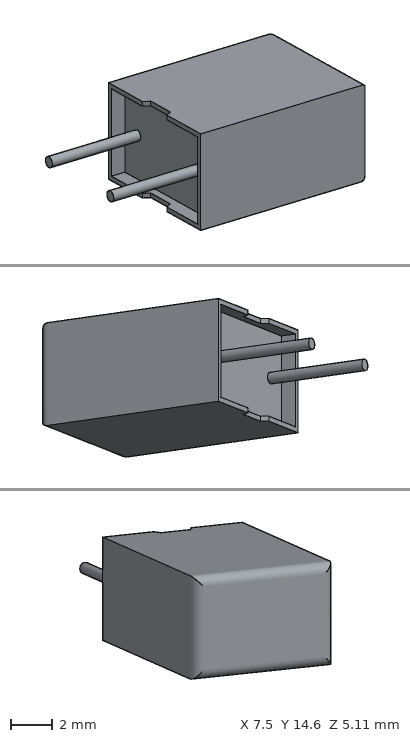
import cadquery as cq

total_length = 14.6
case_width = 7.5
case_height = 5.11
case_length = 10.1
wall = 0.25
back_fillet = 0.5

recess_depth = 0.8

notch_depth = 0.35
notch_mouth_width = 1.99
notch_floor_width = 1.58

pin_diameter = 0.57
pin_pitch = 5.0

filling_front = recess_depth
filling_back = case_length - wall
pin_tip = case_length - total_length

inner_width = case_width - 2 * wall
inner_height = case_height - 2 * wall


def block(width, height, front, back):
    """Box centred on the Y axis, reaching from front to back along Y."""
    return cq.Workplane("XY").box(width, back - front, height).translate((0, (front + back) / 2, 0))


def make_notches():
    """Trapezoidal prism that notches the rim of both the upper and lower walls."""
    return (
        cq.Workplane("XY")
        .polyline([
            (-notch_mouth_width / 2, 0),
            (notch_mouth_width / 2, 0),
            (notch_floor_width / 2, notch_depth),
            (-notch_floor_width / 2, notch_depth),
        ])
        .close()
        .extrude(case_height / 2, both=True)
    )


def make_case():
    """Thin-walled case with a rounded closed end and a notched open end."""
    outside = block(case_width, case_height, 0, case_length).faces(">Y").edges().fillet(back_fillet)
    cavity = block(inner_width, inner_height, 0, filling_back)
    return outside.cut(cavity).cut(make_notches())


def make_filling():
    """Solid filling that closes the case behind the open recess."""
    return block(inner_width, inner_height, filling_front, filling_back)


def make_pin(x):
    """Straight round lead standing on the front face of the filling."""
    return (
        cq.Workplane("XZ", origin=(x, filling_front, 0))
        .circle(pin_diameter / 2)
        .extrude(filling_front - pin_tip)
    )


case = make_case()
filling = make_filling()
pins = [make_pin(side * pin_pitch / 2) for side in (-1, 1)]

result = cq.Compound.makeCompound([case.val(), filling.val(), *[pin.val() for pin in pins]])